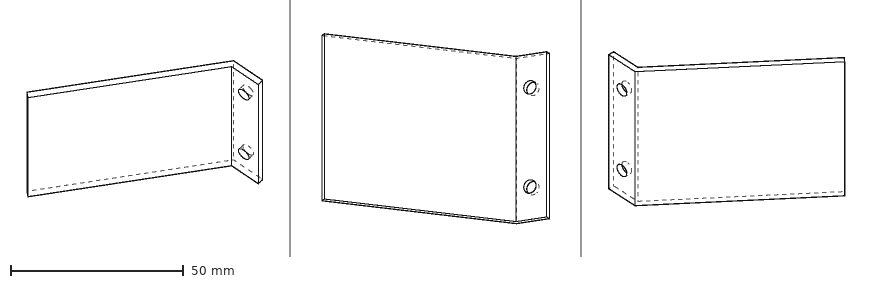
import cadquery as cq
import math

thickness = 2.0
height = 50.0
flange_inner_length = 10.0
leg_inner_length = 60.0
bend_angle = 50.0
hole_diameter = 4.0
hole_end_distance = 10.0

bend_setback = thickness * math.tan(math.radians(bend_angle / 2))
flange_outer_length = flange_inner_length + bend_setback
hole_x = -flange_outer_length / 2

leg_dx = -math.cos(math.radians(bend_angle))
leg_dy = -math.sin(math.radians(bend_angle))


def bent_plate():
    """Sharp-cornered bent strip, with the flange's outer end corner at the origin."""
    inner_corner = (-flange_inner_length, -thickness)
    outer_corner = (-flange_outer_length, 0)
    leg_inner_end = (
        inner_corner[0] + leg_inner_length * leg_dx,
        inner_corner[1] + leg_inner_length * leg_dy,
    )
    leg_outer_end = (
        leg_inner_end[0] + thickness * leg_dy,
        leg_inner_end[1] - thickness * leg_dx,
    )
    outline = [(0, 0), (0, -thickness), inner_corner, leg_inner_end, leg_outer_end, outer_corner]
    return cq.Workplane("XY").polyline(outline).close().extrude(height)


def flange_holes():
    """Two through holes centred across the flange's outer face."""
    hole_centres = [(hole_x, hole_end_distance), (hole_x, height - hole_end_distance)]
    return (
        cq.Workplane("XZ")
        .pushPoints(hole_centres)
        .circle(hole_diameter / 2)
        .extrude(thickness)
    )


result = bent_plate().cut(flange_holes())